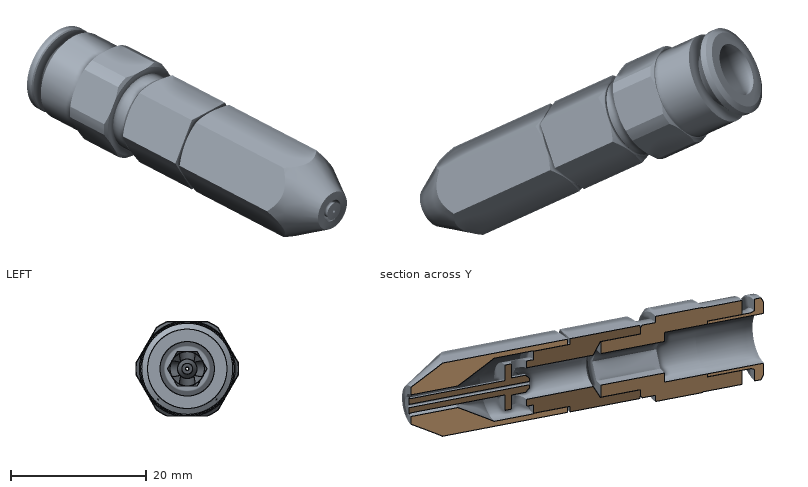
import cadquery as cq
import math

total_length = 57.5
sleeve_start = 1.6
housing_start = 3.5
fitting_hex_start = 9.9
fitting_hex_end = 17.6
neck_end = 19.7
adapter_start = 20.0
adapter_hex_end = 31.45
nozzle_start = 31.8
nozzle_end = 57.2

tube_radius = 4.0
flange_radius = 6.7
flange_front_radius = 5.85
flange_front_chamfer = 0.45
flange_back_chamfer = 0.2
sleeve_radius = 4.6
sleeve_end = 9.2
sleeve_flare_length = 0.7
sleeve_flare_height = 0.25

housing_radius = 6.9
fitting_hex_flats = 14.0
fitting_hex_corner_radius = 7.6
fitting_chamfer_radius = 7.1
fitting_chamfer_length = 0.35
neck_radius = 6.0
neck_end_radius = 5.65
tube_stop = 16.1
hex_key_flats = 5.05
fitting_thread_radius = 4.6
fitting_thread_end = 26.45

body_hex_flats = 12.0
body_hex_apothem = body_hex_flats / 2
body_hex_corner = body_hex_apothem / math.cos(math.radians(30))
cone_slope = math.tan(math.radians(30))
body_chamfer_length = (body_hex_corner - body_hex_apothem) * cone_slope

adapter_thread_radius = 5.1
adapter_thread_end = 37.4
spout_radius = 3.75
spout_end = 42.0
passage_radius = 2.55
passage_end = 39.7
cross_hole_radius = 1.15
pin_radius = 1.45
pin_start = 37.95
pin_nose_radius = 0.8
pin_shank_radius = 1.2
pin_tip_radius = 1.4
pin_bore_radius = 0.25

nozzle_end_radius = 3.05
chamber_end = 43.7
outlet_radius = 1.7


def revolve_profile(points):
    """Solid of revolution about X from (x, radius) points; the axis closes the outline."""
    outline = [(points[0][0], 0), *points, (points[-1][0], 0)]
    return cq.Workplane("XY").polyline(outline).close().revolve(360, (0, 0, 0), (1, 0, 0))


def cylinder(start, end, radius):
    return revolve_profile([(start, radius), (end, radius)])


def hex_bar(start, end, flats):
    """Hexagonal bar along X with corners on +Y and -Y."""
    corner_diameter = flats / math.cos(math.radians(30))
    return cq.Workplane("YZ", origin=(start, 0, 0)).polygon(6, corner_diameter).extrude(end - start)


def make_collet():
    flare_start_radius = sleeve_radius + sleeve_flare_height
    flare_end = sleeve_start + sleeve_flare_length
    flare_radius = (sleeve_flare_length**2 + sleeve_flare_height**2) / (2 * sleeve_flare_height)
    profile = (
        cq.Workplane("XY")
        .moveTo(0, tube_radius)
        .lineTo(0, flange_front_radius)
        .lineTo(flange_front_chamfer, flange_radius)
        .lineTo(sleeve_start - flange_back_chamfer, flange_radius)
        .lineTo(sleeve_start, flange_radius - flange_back_chamfer)
        .lineTo(sleeve_start, flare_start_radius)
        .radiusArc((flare_end, sleeve_radius), -flare_radius)
        .lineTo(sleeve_end, sleeve_radius)
        .lineTo(sleeve_end, tube_radius)
        .close()
    )
    return profile.revolve(360, (0, 0, 0), (1, 0, 0))


def make_fitting_hex():
    """Hexagon with its corners turned down and chamfered at both ends."""
    turned_blank = revolve_profile([
        (fitting_hex_start, fitting_chamfer_radius),
        (fitting_hex_start + fitting_chamfer_length, fitting_hex_corner_radius),
        (fitting_hex_end - fitting_chamfer_length, fitting_hex_corner_radius),
        (fitting_hex_end, fitting_chamfer_radius),
    ])
    return hex_bar(fitting_hex_start, fitting_hex_end, fitting_hex_flats).intersect(turned_blank)


def make_fitting():
    body = cylinder(housing_start, fitting_hex_start, housing_radius).union(make_fitting_hex())
    neck_and_thread = revolve_profile([
        (fitting_hex_end, neck_radius),
        (neck_end, neck_radius),
        (adapter_start, neck_end_radius),
        (adapter_start, fitting_thread_radius),
        (fitting_thread_end, fitting_thread_radius),
    ])
    tube_bore = revolve_profile([
        (housing_start, sleeve_radius),
        (sleeve_end, sleeve_radius),
        (sleeve_end, tube_radius),
        (tube_stop, tube_radius),
    ])
    key_socket = hex_bar(tube_stop, fitting_thread_end, hex_key_flats)
    return body.union(neck_and_thread).cut(tube_bore).cut(key_socket)


def make_adapter_passage():
    """Threaded entry narrowing to the drilled passage, with cross holes at its conical bottom."""
    entry_cone_length = (fitting_thread_radius - passage_radius) * cone_slope
    drill_cone_length = (passage_radius - pin_radius) * cone_slope
    passage = revolve_profile([
        (adapter_start, fitting_thread_radius),
        (fitting_thread_end, fitting_thread_radius),
        (fitting_thread_end + entry_cone_length, passage_radius),
        (passage_end, passage_radius),
        (passage_end + drill_cone_length, pin_radius),
    ])
    for plane in ("XY", "XZ"):
        cross_hole = (
            cq.Workplane(plane, origin=(passage_end, 0, 0))
            .circle(cross_hole_radius)
            .extrude(adapter_thread_radius, both=True)
        )
        passage = passage.union(cross_hole)
    return passage


def make_adapter():
    turned_blank = revolve_profile([
        (adapter_start, body_hex_apothem),
        (adapter_start + body_chamfer_length, body_hex_corner),
        (adapter_hex_end, body_hex_corner),
    ])
    body = hex_bar(adapter_start, adapter_hex_end, body_hex_flats).intersect(turned_blank)
    stud = revolve_profile([
        (adapter_hex_end, adapter_thread_radius),
        (adapter_thread_end, adapter_thread_radius),
        (adapter_thread_end, spout_radius),
        (spout_end, spout_radius),
    ])
    pin = revolve_profile([
        (pin_start, pin_nose_radius),
        (pin_start + pin_radius - pin_nose_radius, pin_radius),
        (spout_end, pin_radius),
        (spout_end, pin_shank_radius),
        (nozzle_end, pin_shank_radius),
        (total_length, pin_tip_radius),
    ])
    pin_bore = cylinder(pin_start, total_length, pin_bore_radius)
    return body.union(stud).cut(make_adapter_passage()).union(pin).cut(pin_bore)


def make_nozzle():
    taper_length = (body_hex_corner - nozzle_end_radius) / cone_slope
    turned_blank = revolve_profile([
        (nozzle_start, body_hex_apothem),
        (nozzle_start + body_chamfer_length, body_hex_corner),
        (nozzle_end - taper_length, body_hex_corner),
        (nozzle_end, nozzle_end_radius),
    ])
    body = hex_bar(nozzle_start, nozzle_end, body_hex_flats).intersect(turned_blank)
    chamber_taper_length = (adapter_thread_radius - outlet_radius) / cone_slope
    chamber = revolve_profile([
        (nozzle_start, adapter_thread_radius),
        (chamber_end, adapter_thread_radius),
        (chamber_end + chamber_taper_length, outlet_radius),
        (nozzle_end, outlet_radius),
    ])
    return body.cut(chamber)


collet = make_collet()
fitting = make_fitting()
adapter = make_adapter()
nozzle = make_nozzle()

result = cq.Compound.makeCompound([collet.val(), fitting.val(), adapter.val(), nozzle.val()])